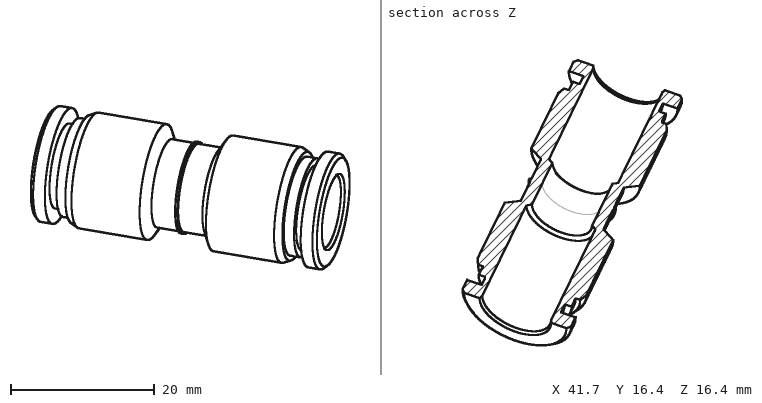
import cadquery as cq


total_length = 41.7
half_length = total_length / 2
flange_end = 2.2
groove_end = 3.55
collar_end = 5.05
body_end = 16.0
neck_start = 17.15
ring_width = 0.38

outer_diameter = 16.4
outer_radius = outer_diameter / 2
groove_radius = 6.0
collar_radius = 7.0
neck_radius = 6.25
ring_radius = 6.5

rim_chamfer = 0.5
body_chamfer_length = 1.05
body_chamfer_depth = 0.5

entry_radius = 5.4
entry_chamfer_length = 0.5
socket_radius = 5.15
socket_depth = 16.7
middle_bore_radius = 4.5
bore_step_length = 0.4


def half_profile():
    """(x, radius) outline of one half, from the end face to the middle plane."""
    ring_start = half_length - ring_width / 2
    outside = [
        (0, outer_radius - rim_chamfer),
        (rim_chamfer, outer_radius),
        (flange_end, outer_radius),
        (flange_end, groove_radius),
        (groove_end, groove_radius),
        (groove_end, collar_radius),
        (collar_end, collar_radius),
        (collar_end, outer_radius - body_chamfer_depth),
        (collar_end + body_chamfer_length, outer_radius),
        (body_end, outer_radius),
        (neck_start, neck_radius),
        (ring_start, neck_radius),
        (ring_start, ring_radius),
        (half_length, ring_radius),
    ]
    bore = [
        (half_length, middle_bore_radius),
        (socket_depth + bore_step_length, middle_bore_radius),
        (socket_depth, socket_radius),
        (entry_chamfer_length, socket_radius),
        (0, entry_radius),
    ]
    return outside + bore


half = (
    cq.Workplane("XY", origin=(-half_length, 0, 0))
    .polyline(half_profile())
    .close()
    .revolve(360, (0, 0, 0), (1, 0, 0))
)

result = half.union(half.mirror("YZ")).clean()